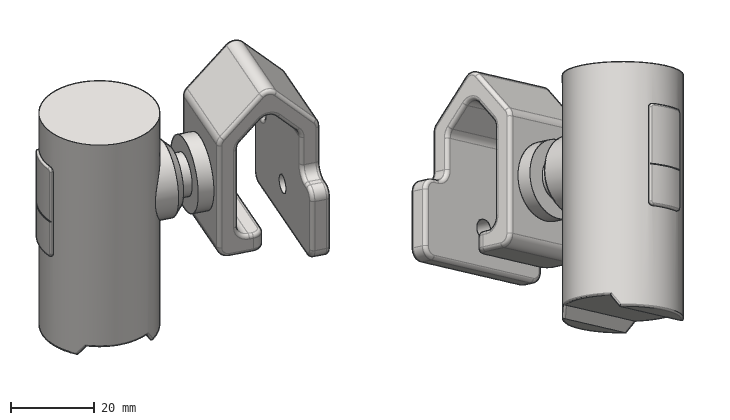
import cadquery as cq
import math


body_radius = 14.55
body_height = 60.25
notch_depth = 2.8
notch_bottom_width = 18.5
notch_top_width = 15.0
body_edge_radius = 0.5

button_width = 10.2
button_bottom = 25.1
button_top = 50.3
button_height = 0.7
button_corner_radius = 1.0
button_edge_radius = 0.55
button_split_level = 35.3
button_split_width = 0.15
button_split_depth = 0.15

stem_level = 38.2
collar_radius = 9.7
collar_length = 4.0
neck_radius = 5.5
neck_length = 3.0
socket_radius = 9.8
socket_chamfer = 2.0

bracket_width = 25.0
bracket_back = 51.8
bracket_depth = 26.1
bracket_top = 65.55
wall = 5.0
bend_radius = 3.0
back_leg_bottom = 19.7
front_leg_bottom = 20.6
lip_length = 12.05
bracket_edge_radius = 1.0

flange_width = 40.0
flange_height = 20.0
screw_hole_diameter = 4.75
screw_hole_level = 30.0

bracket_front = bracket_back - bracket_depth
bracket_middle = bracket_back - bracket_depth / 2
ridge_level = bracket_top + bend_radius * (math.sqrt(2) - 1)
shoulder_level = ridge_level - bracket_depth / 2
inner_ridge_level = ridge_level - wall * math.sqrt(2)
inner_shoulder_level = inner_ridge_level - (bracket_depth / 2 - wall)


def cylinder_along_z(radius, bottom, top):
    return cq.Workplane("XY").workplane(offset=bottom).circle(radius).extrude(top - bottom)


def make_body():
    """Upright cylinder with a trapezoidal notch across its foot, along X."""
    body = cylinder_along_z(body_radius, 0, body_height)
    notch = (
        cq.Workplane("YZ")
        .moveTo(-notch_bottom_width / 2, 0)
        .lineTo(-notch_top_width / 2, notch_depth)
        .lineTo(notch_top_width / 2, notch_depth)
        .lineTo(notch_bottom_width / 2, 0)
        .close()
        .extrude(body_radius, both=True)
    )
    body = body.cut(notch)
    foot_rim = cq.selectors.BoxSelector(
        (-2 * body_radius, -2 * body_radius, -notch_depth),
        (2 * body_radius, 2 * body_radius, 2 * notch_depth),
    )
    return body.faces("%CYLINDER").edges(foot_rim).fillet(body_edge_radius)


def make_button():
    """Raised pad that follows the body's curve, divided by a fine groove."""
    face_radius = body_radius + button_height
    pad = (
        cq.Workplane("XZ")
        .center(0, (button_bottom + button_top) / 2)
        .rect(button_width, button_top - button_bottom)
        .extrude(2 * body_radius)
        .edges("|Y")
        .fillet(button_corner_radius)
        .intersect(cylinder_along_z(face_radius, 0, body_height))
    )
    pad = pad.faces("<Y").edges().fillet(button_edge_radius)
    groove = cylinder_along_z(
        face_radius,
        button_split_level - button_split_width / 2,
        button_split_level + button_split_width / 2,
    ).cut(cylinder_along_z(face_radius - button_split_depth, 0, body_height))
    return pad.cut(groove)


def make_stem():
    """Stepped round stem from the bracket's front wall into the body."""
    neck_end = bracket_front - collar_length
    socket_end = neck_end - neck_length
    return (
        cq.Workplane("XY")
        .moveTo(0, 0)
        .lineTo(socket_radius, 0)
        .lineTo(socket_radius, socket_end - socket_chamfer)
        .lineTo(socket_radius - socket_chamfer, socket_end)
        .lineTo(neck_radius, socket_end)
        .lineTo(neck_radius, neck_end)
        .lineTo(collar_radius, neck_end)
        .lineTo(collar_radius, bracket_front)
        .lineTo(0, bracket_front)
        .close()
        .revolve(360, (0, 0), (0, 1))
        .translate((0, 0, stem_level))
    )


def make_bracket():
    """Roofed hook bracket with a wide flange on its back leg and a lip on its front leg."""
    inner_back = bracket_back - wall
    inner_front = bracket_front + wall
    lip_top = front_leg_bottom + wall
    lip_end = bracket_front + lip_length
    bends = [
        (bracket_back, shoulder_level),
        (bracket_middle, ridge_level),
        (bracket_front, shoulder_level),
        (bracket_front, front_leg_bottom),
        (inner_front, lip_top),
        (inner_front, inner_shoulder_level),
        (bracket_middle, inner_ridge_level),
        (inner_back, inner_shoulder_level),
    ]
    outline = [
        (bracket_back, back_leg_bottom),
        *bends[:4],
        (lip_end, front_leg_bottom),
        (lip_end, lip_top),
        *bends[4:],
        (inner_back, back_leg_bottom),
    ]
    bracket = cq.Workplane("YZ").polyline(outline).close().extrude(bracket_width / 2, both=True)
    for y, z in bends:
        bracket = bracket.edges(cq.selectors.NearestToPointSelector((0, y, z))).fillet(bend_radius)

    lip_corners = cq.selectors.BoxSelector(
        (-bracket_width, lip_end - bend_radius, front_leg_bottom),
        (bracket_width, lip_end + bend_radius, lip_top),
    )
    bracket = bracket.edges("|Z").edges(lip_corners).fillet(bend_radius)

    flange = (
        cq.Workplane("XY")
        .box(flange_width, wall, flange_height, centered=(True, False, False))
        .translate((0, inner_back, back_leg_bottom))
        .edges("|Y")
        .fillet(bend_radius)
    )
    bracket = bracket.union(flange)
    flange_top = back_leg_bottom + flange_height
    for side in (-1, 1):
        corner = (side * bracket_width / 2, bracket_back - wall / 2, flange_top)
        bracket = bracket.edges(cq.selectors.NearestToPointSelector(corner)).fillet(bend_radius)

    return bracket.faces("|X").edges().fillet(bracket_edge_radius)


def make_screw_hole():
    """Plain hole through the flange, along Y."""
    return (
        cq.Workplane("XZ", origin=(0, bracket_back, screw_hole_level))
        .circle(screw_hole_diameter / 2)
        .extrude(wall)
    )


bracket = make_bracket().cut(make_screw_hole())
result = make_body().union(make_button()).union(make_stem()).union(bracket)